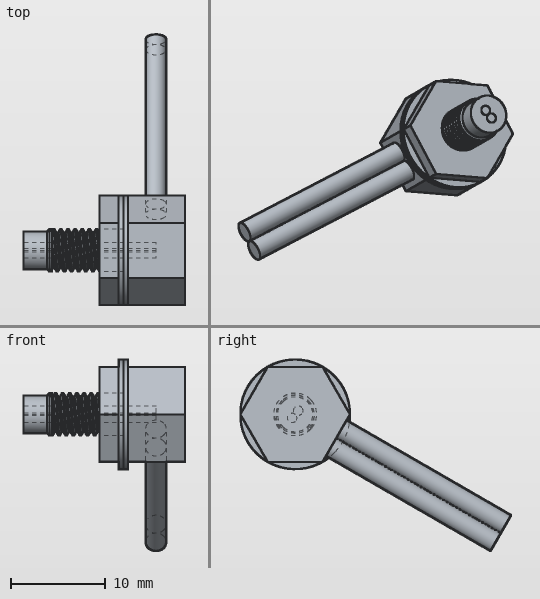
import cadquery as cq
import math


tip_diameter = 4.0
tip_length = 2.5
shank_diameter = 4.5
shank_chamfer = (shank_diameter - tip_diameter) / 2
collar_length = 0.5
thread_pitch = 0.75
hex_across_flats = 10.0
hex_corner_diameter = hex_across_flats / math.cos(math.radians(30))
head_length = 6.0

nut_front = 8.0
nut_thickness = 2.0
washer_diameter = 11.57
washer_thickness = 0.5
washer_count = 2

fibre_diameter = 1.0
fibre_angle = 50.0

cable_diameter = 2.18
cable_length = 20.0
cable_setback = 2.94
cable_drop_angle = 30.0

thread_start = tip_length + collar_length
thread_first_groove = thread_start - thread_pitch / 2
washer_front = nut_front + nut_thickness
head_front = washer_front + washer_count * washer_thickness
cable_x = head_front + cable_setback
fibre_length = cable_x

flank_slope = math.tan(math.radians(30))
groove_depth = 5 / 8 * thread_pitch * math.cos(math.radians(30))
groove_root_width = thread_pitch / 4
groove_overshoot = 0.04


def cylinder(x_start, length, diameter):
    return cq.Workplane("YZ", origin=(x_start, 0, 0)).circle(diameter / 2).extrude(length)


def hexagon(x_start, length):
    return cq.Workplane("YZ", origin=(x_start, 0, 0)).polygon(6, hex_corner_diameter).extrude(length)


def make_thread_groove():
    """Right-hand helical cutter, long enough to run out past both thread ends."""
    root_radius = shank_diameter / 2 - groove_depth
    outer_radius = shank_diameter / 2 + groove_overshoot
    root_half = groove_root_width / 2
    outer_half = root_half + (outer_radius - root_radius) * flank_slope
    turns = math.ceil((nut_front - thread_first_groove) / thread_pitch + 0.5)
    helix = cq.Wire.makeHelix(thread_pitch, turns * thread_pitch, root_radius)
    groove = (
        cq.Workplane("XZ")
        .moveTo(root_radius, -root_half)
        .lineTo(outer_radius, -outer_half)
        .lineTo(outer_radius, outer_half)
        .lineTo(root_radius, root_half)
        .close()
        .sweep(cq.Workplane(obj=helix), isFrenet=True)
    )
    return groove.rotate((0, 0, 0), (0, 1, 0), 90).translate((thread_first_groove, 0, 0))


def make_thread():
    """Threaded length between the collar and the nut, trimmed from a longer grooved blank."""
    blank_start = thread_start - 2 * thread_pitch
    blank_end = nut_front + 2 * thread_pitch
    grooved_blank = cylinder(blank_start, blank_end - blank_start, shank_diameter).cut(make_thread_groove())
    return grooved_blank.intersect(cylinder(thread_start, nut_front - thread_start, 2 * shank_diameter))


def make_fibres():
    fibres = []
    for side in (-1, 1):
        offset = side * fibre_diameter / 2
        y = offset * math.cos(math.radians(fibre_angle))
        z = offset * math.sin(math.radians(fibre_angle))
        fibres.append(cylinder(0, fibre_length, fibre_diameter).translate((0, y, z)))
    return fibres


def make_sensor_body(fibres):
    tip = cylinder(0, tip_length, tip_diameter)
    collar = cylinder(tip_length, collar_length, shank_diameter).faces("<X").chamfer(shank_chamfer)
    thread = make_thread()
    plain_shank = cylinder(nut_front, head_front - nut_front, shank_diameter)
    head = hexagon(head_front, head_length)
    body = head.union(plain_shank).union(thread).union(collar).union(tip)
    for fibre in fibres:
        body = body.cut(fibre)
    return body.solids()


def make_nut():
    return hexagon(nut_front, nut_thickness).cut(cylinder(nut_front, nut_thickness, shank_diameter))


def make_washer(x_start):
    washer = cylinder(x_start, washer_thickness, washer_diameter)
    return washer.cut(cylinder(x_start, washer_thickness, shank_diameter))


def make_cable(side):
    """Cable on the upper (+1) or lower (-1) side of the pair, starting on the flat of the head."""
    cable = (
        cq.Workplane("XZ", origin=(cable_x, hex_across_flats / 2, side * cable_diameter / 2))
        .circle(cable_diameter / 2)
        .extrude(-cable_length)
    )
    return cable.rotate((0, 0, 0), (1, 0, 0), -cable_drop_angle)


fibres = make_fibres()
sensor_body = make_sensor_body(fibres)
nut = make_nut()
washers = [make_washer(washer_front + i * washer_thickness) for i in range(washer_count)]
cables = [make_cable(side) for side in (-1, 1)]

result = cq.Compound.makeCompound([
    sensor_body.val(),
    nut.val(),
    *[washer.val() for washer in washers],
    *[fibre.val() for fibre in fibres],
    *[cable.val() for cable in cables],
])